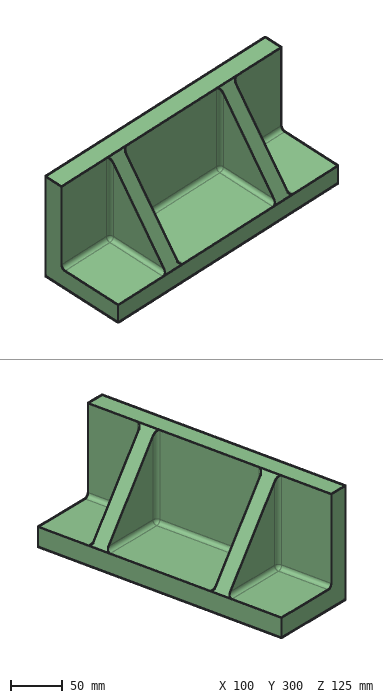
import cadquery as cq

length = 300.0
base_width = 100.0
wall_height = 125.0
plate_thickness = 22.2
rib_thickness = 18.0
rib_spacing = length / 2
fillet_radius = 4.8

overhang = 15.0
blank_length = length + 2 * overhang
blank_width = base_width + overhang
blank_height = wall_height + overhang


def make_block(width, thickness, height, center_y=0):
    """Block with one lower edge on the Y axis, centred on center_y."""
    return (
        cq.Workplane("XY", origin=(0, center_y, 0))
        .box(width, thickness, height, centered=(False, True, False))
    )


def make_blank():
    """Base and wall joined by full-size rectangular ribs."""
    base = make_block(blank_width, blank_length, plate_thickness)
    wall = make_block(plate_thickness, blank_length, blank_height)
    blank = base.union(wall)
    for center_y in (-rib_spacing / 2, rib_spacing / 2):
        blank = blank.union(make_block(blank_width, rib_thickness, blank_height, center_y))
    return blank


def fillet_inner_corners(blank):
    """Round the edges where the base, the wall and the rib sides meet."""
    margin = fillet_radius / 2
    corner_zone = cq.selectors.BoxSelector(
        (plate_thickness - margin, -length / 2, plate_thickness - margin),
        (blank_width - margin, length / 2, blank_height - margin),
    )
    return blank.edges(corner_zone).fillet(fillet_radius)


def make_envelope():
    """Outer side profile, sloping from the top of the wall to the front of the base."""
    return (
        cq.Workplane("XZ")
        .moveTo(0, 0)
        .lineTo(base_width, 0)
        .lineTo(base_width, plate_thickness)
        .lineTo(plate_thickness, wall_height)
        .lineTo(0, wall_height)
        .close()
        .extrude(length / 2, both=True)
    )


result = fillet_inner_corners(make_blank()).intersect(make_envelope())